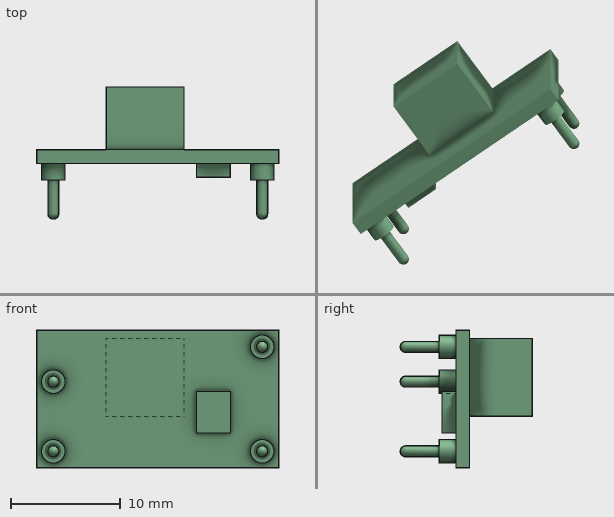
import cadquery as cq


board_width = 22.1
board_height = 12.57
board_thickness = 1.27

block_side = 7.112
block_depth = 5.715
block_left_margin = 6.35
block_top_margin = 0.74

chip_width = 3.1
chip_height = 3.81
chip_depth = 1.27
chip_left_margin = 14.58
chip_bottom_margin = 3.18

collar_diameter = 2.16
collar_length = 1.524
pin_diameter = 1.016
pin_length = 5.08
pin_column_spacing = 19.05
pin_row_spacing = 9.525
left_pin_row_spacing = 6.35

board_left = -board_width / 2
board_bottom = -board_height / 2
board_top = board_height / 2


def box_at(left, front, bottom, width, depth, height):
    """A box placed by its left, front, bottom corner."""
    return cq.Workplane("XY").box(width, depth, height, centered=False).translate((left, front, bottom))


def make_board():
    return box_at(board_left, 0, board_bottom, board_width, board_thickness, board_height)


def make_block():
    left = board_left + block_left_margin
    bottom = board_top - block_top_margin - block_side
    return box_at(left, board_thickness, bottom, block_side, block_depth, block_side)


def make_chip():
    left = board_left + chip_left_margin
    bottom = board_bottom + chip_bottom_margin
    return box_at(left, -chip_depth, bottom, chip_width, chip_depth, chip_height)


def make_pin(x, z):
    """A collared pin turned about a line along Y, ending in a hemisphere."""
    collar_radius = collar_diameter / 2
    pin_radius = pin_diameter / 2
    tip_start = -(pin_length - pin_radius)
    tip_middle = pin_radius * 0.5**0.5
    half_profile = (
        cq.Workplane("XY")
        .lineTo(collar_radius, 0)
        .lineTo(collar_radius, -collar_length)
        .lineTo(pin_radius, -collar_length)
        .lineTo(pin_radius, tip_start)
        .threePointArc((tip_middle, tip_start - tip_middle), (0, -pin_length))
        .close()
    )
    return half_profile.revolve(360, (0, 0, 0), (0, 1, 0)).translate((x, 0, z))


pin_column = pin_column_spacing / 2
bottom_row = -pin_row_spacing / 2
pin_positions = [
    (-pin_column, bottom_row),
    (-pin_column, bottom_row + left_pin_row_spacing),
    (pin_column, bottom_row),
    (pin_column, bottom_row + pin_row_spacing),
]

board = make_board()
block = make_block()
chip = make_chip()
pins = [make_pin(x, z) for x, z in pin_positions]

result = cq.Compound.makeCompound(
    [board.val(), block.val(), chip.val(), *[pin.val() for pin in pins]]
)